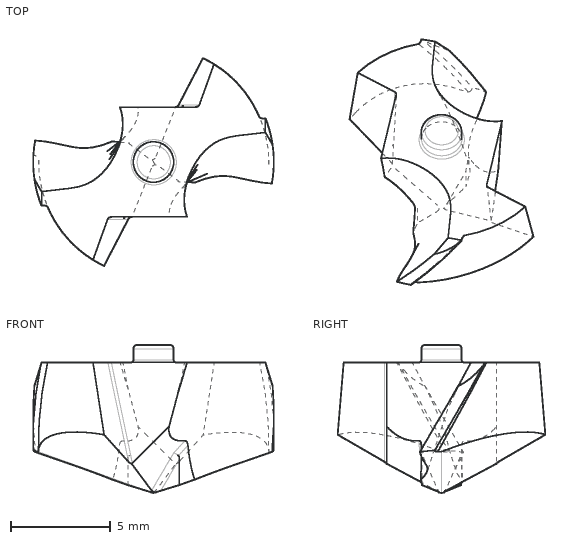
import cadquery as cq
import math

face_z = 6.57
land_radius = 5.78
margin_radius = 6.05
twist_per_height = 5.537
web_half_width = 2.76
overlap = 0.01
reach = 18.15
tip_clearance = 0.12

pin_radius = 1.02
pin_height = 0.87
pin_top_round = 0.18
pin_base_round = 0.12

primary_slopes = (-0.36, -0.07)
secondary_slopes = (-0.36, -0.39)
gash_slopes = (1.0, -0.93)
gash_wall_end = (1.3, -0.98)
gash_wall_outer = (6.65, -1.39)
gash_round = 0.3

flute_web_corner = (1.7, -web_half_width)
flute_waist = (1.55, -1.94)
flute_throat = (1.7, -0.98)
flute_bend = (2.21, 0.12)
flute_shoulder = (3.24, 1.05)
flute_crest = (4.71, 1.38)
flute_runout = (6.53, 1.72)
flute_tool_depth = 5.45
flute_tail_x = 2.66

margin_start_angle = -5.0
margin_step_angle = 21.3
step_foot_angle = 23.3
margin_root_radius = 4.84
step_middle_point = (5.87, 22.0)

relief_half_width = 5.63
relief_base_half_width = 6.03
relief_height = 1.31

notch_top_x = -2.26
notch_bottom_x = -0.88
notch_top_wall_slope = 0.36
notch_bottom_wall_slope = 0.43
notch_round = 0.18


def turned_half(tool):
    """Copy of a tool half a turn around the axis."""
    return tool.rotate((0, 0, 0), (0, 0, 1), 180)


def polar(radius, degrees):
    angle = math.radians(degrees)
    return (radius * math.cos(angle), radius * math.sin(angle))


def twist_down(profile):
    """Sweep an outline given on the seating face helically down to the drill point."""
    turn = twist_per_height * face_z
    solid = profile.twistExtrude(face_z, turn)
    return solid.rotate((0, 0, 0), (0, 0, 1), -turn)


def above_plane(slopes):
    """Half space above an inclined plane through the drill point."""
    plane = cq.Plane(origin=(0, 0, 0), xDir=(1, 0, slopes[0]), normal=(-slopes[0], -slopes[1], 1))
    return cq.Workplane(plane).rect(4 * reach, 4 * reach).extrude(2 * reach)


def make_margin():
    profile = (
        cq.Workplane("XY")
        .moveTo(*polar(margin_root_radius, margin_start_angle))
        .lineTo(*polar(margin_radius, margin_start_angle))
        .threePointArc(
            polar(margin_radius, (margin_start_angle + margin_step_angle) / 2),
            polar(margin_radius, margin_step_angle),
        )
        .threePointArc(polar(*step_middle_point), polar(land_radius - overlap, step_foot_angle))
        .lineTo(*polar(margin_root_radius, step_foot_angle))
        .close()
    )
    return twist_down(profile)


def make_flute():
    profile = (
        cq.Workplane("XY")
        .moveTo(*flute_web_corner)
        .spline(
            [flute_waist, flute_throat, flute_bend, flute_shoulder, flute_crest, flute_runout],
            includeCurrent=True,
        )
        .lineTo(flute_runout[0], -flute_tool_depth)
        .lineTo(flute_tail_x, -flute_tool_depth)
        .close()
    )
    return twist_down(profile)


def notch_section(height, corner_x, wall_slope):
    outer_x = corner_x - wall_slope * (reach - web_half_width)
    points = [
        (corner_x, -web_half_width),
        (reach, -web_half_width),
        (reach, -reach),
        (outer_x, -reach),
    ]
    return cq.Wire.makePolygon([cq.Vector(x, y, height) for x, y in points], close=True)


def make_notch():
    top = notch_section(face_z, notch_top_x, notch_top_wall_slope)
    bottom = notch_section(0, notch_bottom_x, notch_bottom_wall_slope)
    notch = cq.Workplane(cq.Solid.makeLoft([bottom, top], True))
    corner = ((notch_top_x + notch_bottom_x) / 2, -web_half_width, face_z / 2)
    return notch.edges(cq.selectors.NearestToPointSelector(corner)).fillet(notch_round)


def root_midpoint(start, end):
    """Middle of a straight stretch of the gash root, given its ends in plan."""
    x = (start[0] + end[0]) / 2
    y = (start[1] + end[1]) / 2
    return (x, y, gash_slopes[0] * x + gash_slopes[1] * y)


def make_point_cutter():
    """Space under one half of the point: primary and secondary flanks plus the web gash."""
    wall_x, wall_y = gash_wall_end
    outer_x, outer_y = gash_wall_outer
    outline = [
        (-reach, -outer_y),
        (-outer_x, -outer_y),
        (-wall_x, -wall_y),
        (wall_x, wall_y),
        (outer_x, outer_y),
        (reach, outer_y),
        (reach, -reach),
        (-reach, -reach),
    ]
    half = cq.Workplane("XY", origin=(0, 0, -tip_clearance)).polyline(outline).close().extrude(face_z)
    kept = above_plane(primary_slopes).intersect(above_plane(secondary_slopes))
    kept = kept.intersect(above_plane(gash_slopes))
    cutter = half.cut(kept)
    inner_root = root_midpoint((0, 0), gash_wall_end)
    outer_root = root_midpoint(gash_wall_end, gash_wall_outer)
    roots = cq.selectors.NearestToPointSelector(inner_root) + cq.selectors.NearestToPointSelector(outer_root)
    return cutter.edges(roots).fillet(gash_round)


def make_tip_trim():
    """Space under the opposite primary flank, so the gash round leaves no nub at the drill point."""
    quadrant = cq.Workplane("XY").box(reach, reach, face_z).translate((reach / 2, -reach / 2, 0))
    return quadrant.cut(above_plane((-primary_slopes[0], -primary_slopes[1])))


def make_relief():
    return (
        cq.Workplane("XZ")
        .moveTo(relief_half_width, face_z)
        .lineTo(relief_base_half_width, face_z - relief_height)
        .lineTo(reach, face_z - relief_height)
        .lineTo(reach, face_z)
        .close()
        .extrude(reach, both=True)
    )


def make_pin():
    side = pin_radius + pin_base_round
    return (
        cq.Workplane("XZ")
        .moveTo(0, face_z - overlap)
        .lineTo(side, face_z - overlap)
        .lineTo(side, face_z)
        .radiusArc((pin_radius, face_z + pin_base_round), pin_base_round)
        .lineTo(pin_radius, face_z + pin_height - pin_top_round)
        .radiusArc((pin_radius - pin_top_round, face_z + pin_height), -pin_top_round)
        .lineTo(0, face_z + pin_height)
        .close()
        .revolve(360, (0, 0, 0), (0, 1, 0))
    )


body = cq.Workplane("XY").circle(land_radius).extrude(face_z)
margin = make_margin()
body = body.union(margin).union(turned_half(margin))
for tool in (make_flute(), make_notch(), make_point_cutter(), make_tip_trim(), make_relief()):
    body = body.cut(tool).cut(turned_half(tool))
result = body.union(make_pin())